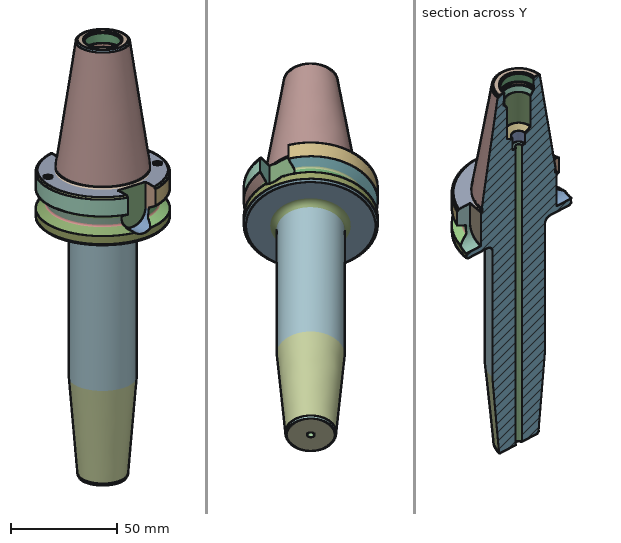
import cadquery as cq
import math

total_length = 225.5
taper_length = 65.4
gauge_gap = 2.0
flange_height = 25.0
nose_cone_length = 51.0

gauge_z = total_length - taper_length
flange_top_z = gauge_z - gauge_gap
flange_bottom_z = flange_top_z - flange_height

taper_ratio = 7 / 24
gauge_radius = 22.3
taper_end_radius = gauge_radius - taper_length * taper_ratio / 2
taper_end_chamfer = 1.0

land_height = 0.7
neck_depth = 0.5
neck_fillet = 0.7

flange_radius = 31.5
flange_top_chamfer = 1.0
flange_bottom_chamfer = 1.1
groove_floor_radius = 26.5
groove_center_drop = 14.7
groove_mouth_width = 10.1
groove_flank_angle = 30.0
groove_floor_fillet = 1.1

slot_width = 16.0
slot_depth_z = 21.2
slot_floor_x = 22.8

body_radius = 16.0
body_fillet = 3.0
nose_cone_angle = 4.5
nose_chamfer_height = 1.4
nose_chamfer_width = 0.7

bore_mouth_radius = 9.2
counterbore_radius = 8.5
counterbore_depth = 8.0
relief_radius = 9.0
relief_height = 2.0
thread_radius = 7.0
thread_depth = 30.0
thread_lead_in_angle = 30.0
drill_point_angle = 118.0
pilot_radius = 3.5
pilot_length = 6.8
through_radius = 1.7

screw_circle_radius = 26.8
screw_angle = 69.7
screw_mouth_radius = 2.15
screw_hole_radius = 1.7
screw_hole_depth = 1.4
screw_core_radius = 1.0
screw_depth = 6.8

cos_45 = math.sqrt(0.5)
selection_margin = 0.2


def make_outside():
    """Revolved outside shape, from the nose up to the small end of the taper."""
    nose_radius = body_radius - nose_cone_length * math.tan(math.radians(nose_cone_angle))
    groove_z = flange_top_z - groove_center_drop
    half_mouth = groove_mouth_width / 2
    flank_height = (flange_radius - groove_floor_radius) * math.tan(math.radians(groove_flank_angle))
    half_floor = half_mouth - flank_height
    fillet_center_z = flange_bottom_z - body_fillet
    fillet_45 = body_fillet * cos_45
    neck_radius = gauge_radius - neck_depth
    neck_fillet_45 = neck_fillet * cos_45

    profile = (
        cq.Workplane("XZ")
        .lineTo(nose_radius - nose_chamfer_width, 0)
        .lineTo(nose_radius, nose_chamfer_height)
        .lineTo(body_radius, nose_cone_length)
        .lineTo(body_radius, fillet_center_z)
        .threePointArc(
            (body_radius + body_fillet - fillet_45, fillet_center_z + fillet_45),
            (body_radius + body_fillet, flange_bottom_z),
        )
        .lineTo(flange_radius - flange_bottom_chamfer, flange_bottom_z)
        .lineTo(flange_radius, flange_bottom_z + flange_bottom_chamfer)
        .lineTo(flange_radius, groove_z - half_mouth)
        .lineTo(groove_floor_radius, groove_z - half_floor)
        .lineTo(groove_floor_radius, groove_z + half_floor)
        .lineTo(flange_radius, groove_z + half_mouth)
        .lineTo(flange_radius, flange_top_z - flange_top_chamfer)
        .lineTo(flange_radius - flange_top_chamfer, flange_top_z)
        .lineTo(neck_radius + neck_fillet, flange_top_z)
        .threePointArc(
            (neck_radius + neck_fillet - neck_fillet_45, flange_top_z + neck_fillet - neck_fillet_45),
            (neck_radius, flange_top_z + neck_fillet),
        )
        .lineTo(neck_radius, gauge_z - land_height)
        .lineTo(gauge_radius, gauge_z - land_height)
        .lineTo(gauge_radius, gauge_z)
        .lineTo(taper_end_radius, total_length - taper_end_chamfer)
        .lineTo(taper_end_radius - taper_end_chamfer, total_length)
        .lineTo(0, total_length)
        .close()
    )
    solid = profile.revolve(360, (0, 0, 0), (0, 1, 0))
    groove_corners = cq.selectors.BoxSelector(
        (-flange_radius, -flange_radius, groove_z - half_floor - selection_margin),
        (flange_radius, flange_radius, groove_z + half_floor + selection_margin),
        boundingbox=True,
    )
    return solid.edges(groove_corners).edges("%CIRCLE").fillet(groove_floor_fillet)


def make_bore():
    """Revolved cutter for the stepped bore, open at both ends."""
    cone_slope = 1 / math.tan(math.radians(drill_point_angle / 2))
    mouth_chamfer = bore_mouth_radius - counterbore_radius
    ledge_z = total_length - counterbore_depth
    lead_in_drop = (counterbore_radius - thread_radius) / math.tan(math.radians(thread_lead_in_angle))
    thread_end_z = total_length - thread_depth
    pilot_top_z = thread_end_z - (thread_radius - pilot_radius) * cone_slope
    pilot_end_z = pilot_top_z - pilot_length

    profile = (
        cq.Workplane("XZ")
        .lineTo(through_radius, 0)
        .lineTo(through_radius, pilot_end_z)
        .lineTo(pilot_radius, pilot_end_z)
        .lineTo(pilot_radius, pilot_top_z)
        .lineTo(thread_radius, thread_end_z)
        .lineTo(thread_radius, ledge_z - lead_in_drop)
        .lineTo(counterbore_radius, ledge_z)
        .lineTo(relief_radius, ledge_z)
        .lineTo(relief_radius, ledge_z + relief_height)
        .lineTo(counterbore_radius, ledge_z + relief_height)
        .lineTo(counterbore_radius, total_length - mouth_chamfer)
        .lineTo(bore_mouth_radius, total_length)
        .lineTo(0, total_length)
        .close()
    )
    return profile.revolve(360, (0, 0, 0), (0, 1, 0))


def make_drive_slot(side):
    """Cutter for one drive slot; side is +1 or -1 along X."""
    slot_radius = slot_width / 2
    round_center_z = flange_top_z - slot_depth_z + slot_radius
    outline = (
        cq.Workplane("YZ", origin=(side * slot_floor_x, 0, 0))
        .moveTo(-slot_radius, flange_top_z)
        .lineTo(-slot_radius, round_center_z)
        .threePointArc((0, round_center_z - slot_radius), (slot_radius, round_center_z))
        .lineTo(slot_radius, flange_top_z)
        .close()
    )
    return outline.extrude(side * flange_radius)


def make_screw_hole(angle):
    """Cutter for one stepped screw hole with a chamfered mouth, at an angle from +X."""
    mouth_chamfer = screw_mouth_radius - screw_hole_radius
    profile = (
        cq.Workplane("XZ")
        .lineTo(screw_mouth_radius, 0)
        .lineTo(screw_hole_radius, -mouth_chamfer)
        .lineTo(screw_hole_radius, -screw_hole_depth)
        .lineTo(screw_core_radius, -screw_hole_depth)
        .lineTo(screw_core_radius, -screw_depth)
        .lineTo(0, -screw_depth)
        .close()
    )
    cutter = profile.revolve(360, (0, 0, 0), (0, 1, 0))
    return cutter.translate((screw_circle_radius, 0, flange_top_z)).rotate((0, 0, 0), (0, 0, 1), angle)


result = make_outside().cut(make_bore())
for slot_side in (1, -1):
    result = result.cut(make_drive_slot(slot_side))
for half_turn in (0, 180):
    result = result.cut(make_screw_hole(screw_angle + half_turn))